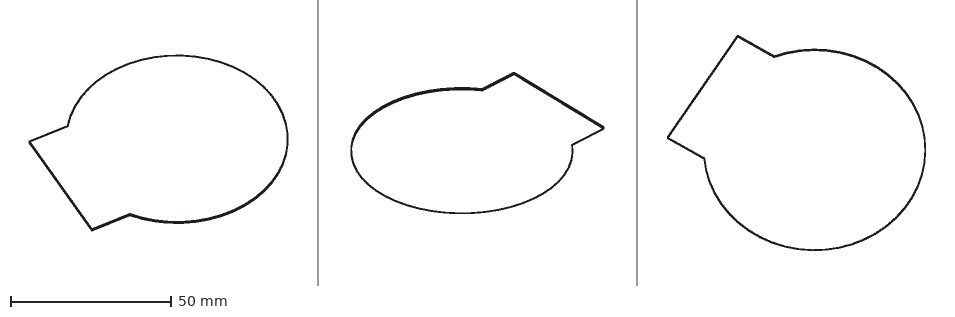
import cadquery as cq

disc_diameter = 69.0
overall_length = 75.6
tab_width = 41.3
thickness = 0.62

disc_radius = disc_diameter / 2
tab_reach = overall_length - disc_radius

disc = cq.Workplane("XY").circle(disc_radius).extrude(thickness)

tab = (
    cq.Workplane("XY")
    .center(0, -tab_reach / 2)
    .rect(tab_width, tab_reach)
    .extrude(thickness)
)

result = disc.union(tab).clean()